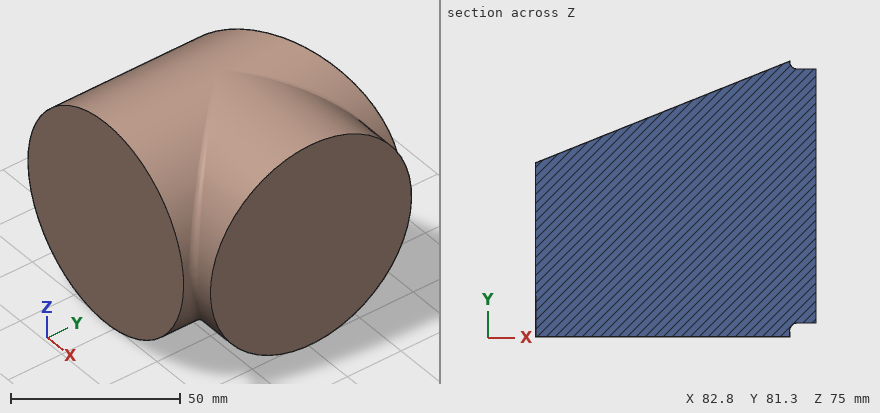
import cadquery as cq
import math

diameter = 75.0
radius = diameter / 2
branch_axis_y = 41.5
branch_length = 45.25
peak_y = 81.28
slope_angle = 21.8
fillet_radius = 2.0

low_side_y = peak_y - diameter * math.tan(math.radians(slope_angle))
seam_turn = 90.0
tolerance = 0.01


def main_cylinder():
    """Full-height cylinder along Y, standing on a flat base at Y = 0."""
    return cq.Workplane("XZ").transformed(rotate=(0, 0, seam_turn)).circle(radius).extrude(-peak_y)


def branch_cylinder():
    """Cylinder along +X, starting at the axis of the main cylinder."""
    end_plane = cq.Workplane("YZ").center(branch_axis_y, 0)
    return end_plane.transformed(rotate=(0, 0, seam_turn)).circle(radius).extrude(branch_length)


def sloped_envelope():
    """Prism whose slope forms the oblique end; beyond the peak it clears the branch."""
    outline = [
        (-radius, 0),
        (branch_length, 0),
        (branch_length, peak_y),
        (radius, peak_y),
        (-radius, low_side_y),
    ]
    return cq.Workplane("XY").polyline(outline).close().extrude(diameter, both=True)


def is_mitre_edge(edge):
    """True on the intersection ellipses, which lie in the planes Y - branch_axis_y = +/-X."""
    middle = edge.positionAt(0.5)
    on_mitre_plane = abs(abs(middle.y - branch_axis_y) - middle.x) < tolerance
    return edge.geomType() == "ELLIPSE" and on_mitre_plane


body = main_cylinder().union(branch_cylinder()).intersect(sloped_envelope())
mitre_edges = [edge for edge in body.edges().vals() if is_mitre_edge(edge)]

result = body.newObject(mitre_edges).fillet(fillet_radius)